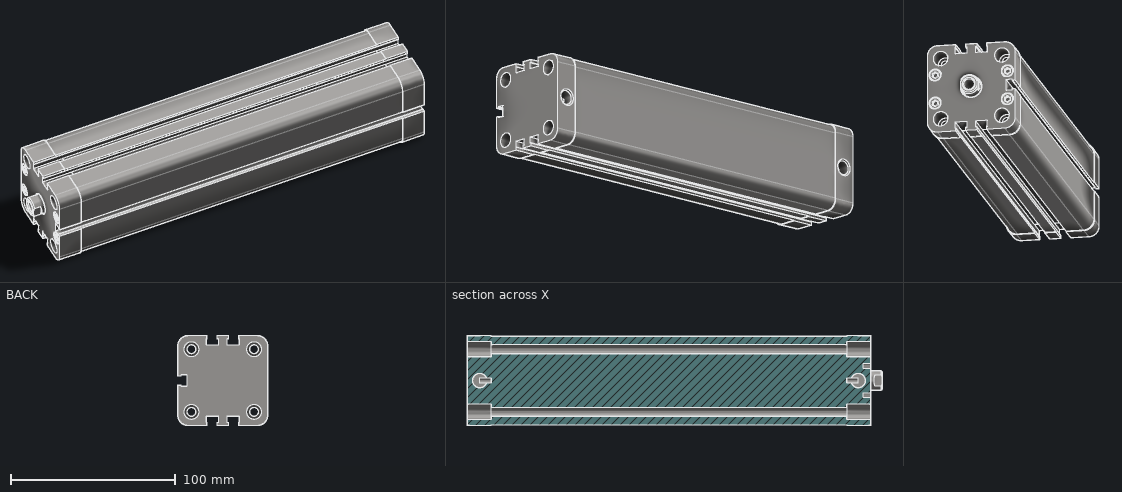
import cadquery as cq
import math

cap_side = 54.8
body_side = 54.0
cap_end_side = 54.5
housing_length = 245.0
rod_projection = 7.0
total_length = housing_length + rod_projection
cap_length = 14.6
corner_radius = 6.5

rod_end_y = -total_length / 2
front_y = rod_end_y + rod_projection
rear_y = front_y + housing_length
front_joint_y = front_y + cap_length
rear_joint_y = rear_y - cap_length

slot_inner_wall = 2.7
slot_inner_lip = 3.5
slot_outer_wall = 9.9
slot_outer_lip = 9.6
side_slot_opening = 5.4
side_slot_undercut = 6.8
slot_floor = 21.7
lip_floor = 25.3
front_relief_length = 19.7
rear_relief_length = cap_length
slot_relief_depth = 0.1

mount_pitch = 38.0
mount_hole_diameter = 5.2
mount_bore_diameter = 9.0
mount_bore_depth = cap_length

screw_pitch_x = 44.8
screw_pitch_z = 17.7
screw_recess_diameter = 7.5
screw_recess_depth = 4.8
screw_head_diameter = 6.65
screw_head_height = 4.5
socket_core_diameter = 3.2
socket_lobe_diameter = 0.9
socket_lobes = 6
socket_depth = 2.0

port_diameter = 8.57
port_mouth_diameter = 10.5
port_chamfer = (port_mouth_diameter - port_diameter) / 2
port_depth = 9.0
port_inset = 7.7
passage_diameter = 3.0

rod_diameter = 12.0
rod_chamfer = 0.8
rod_across_flats = 10.0
flat_length = 4.2
flat_bulge = 1.0
thread_diameter = 6.65
thread_mouth_diameter = 8.0
thread_depth = 20.0
drill_point_half_angle = math.radians(59)
recess_diameter = 12.5
recess_mouth_diameter = 13.4
recess_depth = 3.0

overlap = 1.0


def along_y(y, direction=1):
    """Workplane at the given Y that extrudes towards +Y or -Y."""
    return cq.Workplane(cq.Plane(origin=(0, y, 0), xDir=(1, 0, 0), normal=(0, direction, 0)))


def rounded_square(side):
    """Rounded section shared by the profile body and the caps."""
    return cq.Sketch().rect(side, side).vertices().fillet(corner_radius)


def cylinder(x, z, y_start, diameter, length):
    """Cylinder along +Y."""
    start = cq.Vector(x, y_start, z)
    return cq.Workplane(cq.Solid.makeCylinder(diameter / 2, length, start, cq.Vector(0, 1, 0)))


def cone(y_start, start_diameter, end_diameter, length):
    """Cone on the part axis, along +Y."""
    start = cq.Vector(0, y_start, 0)
    return cq.Workplane(
        cq.Solid.makeCone(start_diameter / 2, end_diameter / 2, length, start, cq.Vector(0, 1, 0))
    )


def box(x_range, y_range, z_range):
    """Box between the given limits."""
    sizes = [high - low for low, high in (x_range, y_range, z_range)]
    return cq.Workplane().box(*sizes, centered=False).translate((x_range[0], y_range[0], z_range[0]))


def make_cap(joint_y, direction):
    """End cap, drafted from the joint to its narrower outer face."""
    draft_angle = math.degrees(math.atan((cap_side - cap_end_side) / 2 / cap_length))
    section = along_y(joint_y, direction).placeSketch(rounded_square(cap_side))
    return section.extrude(cap_length, taper=draft_angle)


def make_housing():
    """Profile body with a cap on each end."""
    body_length = rear_joint_y - front_joint_y
    body = along_y(front_joint_y).placeSketch(rounded_square(body_side)).extrude(body_length)
    return body.union(make_cap(front_joint_y, -1)).union(make_cap(rear_joint_y, 1))


def upper_slot(opening, undercut):
    """Cutter for one slot in the +Z side, given the X limits of its mouth and of its undercut."""
    full = (front_y - overlap, rear_y + overlap)
    front_relief = (front_y - overlap, front_y + front_relief_length)
    rear_relief = (rear_y - rear_relief_length, rear_y + overlap)
    top = cap_side / 2 + overlap
    cutter = box(opening, full, (slot_floor, top)).union(box(undercut, full, (slot_floor, lip_floor)))
    for relief in (front_relief, rear_relief):
        cutter = cutter.union(box(undercut, relief, (slot_floor - slot_relief_depth, lip_floor)))
    return cutter


def cut_slots(solid):
    """Two slots in each of the +Z and -Z sides and one in the +X side."""
    right = upper_slot((slot_inner_lip, slot_outer_lip), (slot_inner_wall, slot_outer_wall))
    for cutter in (right, right.mirror("YZ")):
        solid = solid.cut(cutter).cut(cutter.mirror("XY"))
    half_opening = side_slot_opening / 2
    half_undercut = side_slot_undercut / 2
    side_cutter = upper_slot((-half_opening, half_opening), (-half_undercut, half_undercut))
    return solid.cut(side_cutter.rotate((0, 0, 0), (0, 1, 0), 90))


def four_places(pitch_x, pitch_z):
    """Centres of a rectangular pattern about the part axis."""
    return [(x * pitch_x / 2, z * pitch_z / 2) for x in (-1, 1) for z in (-1, 1)]


def cut_mounting_holes(solid):
    """Through holes in the corners, widened at both ends."""
    for x, z in four_places(mount_pitch, mount_pitch):
        solid = solid.cut(cylinder(x, z, front_y, mount_hole_diameter, housing_length))
        for y in (front_y, rear_y - mount_bore_depth):
            solid = solid.cut(cylinder(x, z, y, mount_bore_diameter, mount_bore_depth))
    return solid


def lobed_socket(x, z, y):
    """Six-lobed driver socket with one lobe pointing towards +Z."""
    socket = cylinder(x, z, y, socket_core_diameter, socket_depth)
    for lobe in range(socket_lobes):
        angle = lobe * 2 * math.pi / socket_lobes
        lobe_x = x + socket_core_diameter / 2 * math.sin(angle)
        lobe_z = z + socket_core_diameter / 2 * math.cos(angle)
        socket = socket.union(cylinder(lobe_x, lobe_z, y, socket_lobe_diameter, socket_depth))
    return socket


def add_cap_screws(solid):
    """Socket screws sunk in the front cap."""
    floor_y = front_y + screw_recess_depth
    head_y = floor_y - screw_head_height
    for x, z in four_places(screw_pitch_x, screw_pitch_z):
        solid = solid.cut(cylinder(x, z, front_y, screw_recess_diameter, screw_recess_depth))
        head = cylinder(x, z, head_y, screw_head_diameter, screw_head_height + overlap)
        solid = solid.union(head.cut(lobed_socket(x, z, head_y)))
    return solid


def cut_port(solid, port_y, inward):
    """Chamfered port in the -X side with a passage from its floor towards the bore."""
    face_x = -cap_side / 2
    start = cq.Vector(face_x, port_y, 0)
    towards_axis = cq.Vector(1, 0, 0)
    hole = cq.Solid.makeCylinder(port_diameter / 2, port_depth, start, towards_axis)
    mouth = cq.Solid.makeCone(
        port_mouth_diameter / 2, port_diameter / 2, port_chamfer, start, towards_axis
    )
    passage_start = cq.Vector(face_x + port_depth, port_y, 0)
    passage = cq.Solid.makeCylinder(
        passage_diameter / 2, cap_length - port_inset, passage_start, cq.Vector(0, inward, 0)
    )
    return solid.cut(cq.Workplane(hole)).cut(cq.Workplane(mouth)).cut(cq.Workplane(passage))


def cut_rod_recess(solid):
    """Recess for the wiper, with a flared mouth."""
    flare = (recess_mouth_diameter - recess_diameter) / 2
    solid = solid.cut(cylinder(0, 0, front_y, recess_diameter, recess_depth))
    return solid.cut(cone(front_y, recess_mouth_diameter, recess_diameter, flare))


def make_rod():
    """Rod end with a chamfered tip and two wrench flats."""
    length = rod_projection + recess_depth + overlap
    rod = cylinder(0, 0, rod_end_y, rod_diameter, length).faces("<Y").chamfer(rod_chamfer)
    flat_y = rod_end_y + flat_length
    half_chord = math.sqrt(rod_diameter**2 - rod_across_flats**2) / 2
    flat = (
        cq.Workplane("YZ", origin=(rod_across_flats / 2, 0, 0))
        .moveTo(rod_end_y - overlap, -half_chord - overlap)
        .lineTo(flat_y, -half_chord - overlap)
        .threePointArc((flat_y + flat_bulge, 0), (flat_y, half_chord + overlap))
        .lineTo(rod_end_y - overlap, half_chord + overlap)
        .close()
        .extrude(rod_diameter)
    )
    return rod.cut(flat).cut(flat.mirror("YZ"))


def cut_rod_thread(solid):
    """Threaded hole in the rod, with a countersunk mouth and a drill point."""
    countersink = (thread_mouth_diameter - thread_diameter) / 2
    point_length = thread_diameter / 2 / math.tan(drill_point_half_angle)
    solid = solid.cut(cone(rod_end_y, thread_mouth_diameter, thread_diameter, countersink))
    solid = solid.cut(cylinder(0, 0, rod_end_y, thread_diameter, thread_depth))
    return solid.cut(cone(rod_end_y + thread_depth, thread_diameter, 0, point_length))


result = cut_slots(make_housing())
result = cut_mounting_holes(result)
result = add_cap_screws(result)
result = cut_port(result, front_y + port_inset, 1)
result = cut_port(result, rear_y - port_inset, -1)
result = cut_rod_recess(result).union(make_rod())
result = cut_rod_thread(result)